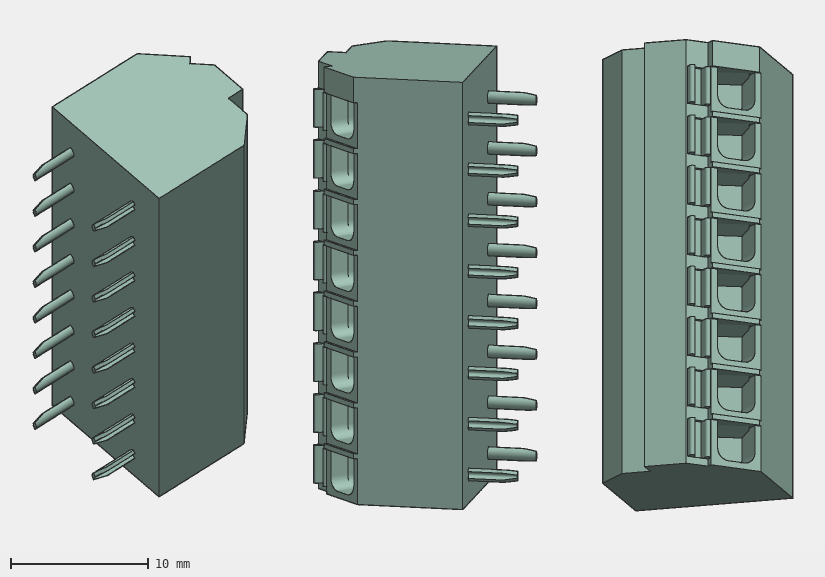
import cadquery as cq
import math

width = 12.0
height = 31.98
depth = 11.7
shoulder_y = 8.15
ledge_y = 10.33
ledge_x = 1.7
step_y = 10.9
step_run = 0.48

cell_count = 8
cell_pitch = 3.8

pocket_height = 3.42
pocket_depth = 0.22

hole_floor = 0.48
hole_fillet = 0.9
hole_top_y = 10.35
hole_low_y = 8.2
hole_bend_y = 9.3
hole_length = 1.6
lean = 25.0
ceiling_slope = 16.0

button_floor = 0.55
button_height = 2.8
lip_radius = 0.2
first_lip = 0.22
second_lip = 1.5
lip_tip_y = 11.95
slot_depth = 0.32

pin_length = 3.6
pin_taper = 1.02
pin_cutback = 0.25
pin_height = 2.17
pin_outer_radius = 0.48
pin_outer_angle = 80
pin_groove_radius = 0.15
pin_groove_angle = 60
pin_corner_x = -0.1
pin_corner_z = 0.25
pin_centers = ((-4.03, 1), (3.2, -1))

half_width = width / 2
chamfer_run = step_y - shoulder_y
crest_x = chamfer_run - half_width
notch_x = crest_x + step_run
notch_y = step_y - step_run
diagonal = math.sqrt(2)
pocket_drop = pocket_depth * diagonal
lip_reach = (lip_tip_y - lip_radius - notch_y) * diagonal - second_lip
lean_run = math.sin(math.radians(lean))
lean_fall = math.cos(math.radians(lean))
lean_offset = math.radians(45 - lean)


def prism(points, bottom, tall):
    return cq.Workplane("XY").workplane(offset=bottom).polyline(points).close().extrude(tall)


def wall_plane(z):
    """Plane whose X runs up the button wall from the notch and whose Y points out of it."""
    return cq.Workplane(cq.Plane(origin=(notch_x, notch_y, z), xDir=(1, 1, 0), normal=(0, 0, 1)))


def make_housing():
    outline = [
        (-half_width, 0),
        (half_width, 0),
        (half_width, shoulder_y),
        (half_width - (ledge_y - shoulder_y), ledge_y),
        (ledge_x, ledge_y),
        (ledge_x, depth),
        (notch_x + depth - notch_y, depth),
        (notch_x, notch_y),
        (crest_x, step_y),
        (-half_width, shoulder_y),
    ]
    return prism(outline, 0, height)


def make_pocket():
    outline = [
        (-half_width, shoulder_y - pocket_drop),
        (crest_x + pocket_drop / 2, step_y - pocket_drop / 2),
        (crest_x, step_y),
        (crest_x, step_y + pocket_drop),
        (-half_width - pocket_drop, shoulder_y),
    ]
    return prism(outline, 0, pocket_height)


def make_wire_hole():
    mouth = (hole_top_y - hole_low_y) * diagonal
    top_x = hole_top_y - (shoulder_y - pocket_drop) - half_width
    low_x = top_x - (hole_top_y - hole_low_y)
    entry = hole_top_y - hole_bend_y
    bend = (top_x + entry, hole_bend_y)
    end = (bend[0] + hole_length * lean_run, bend[1] - hole_length * lean_fall)
    low_entry = entry + mouth * math.tan(lean_offset / 2) / diagonal
    low_bend = (low_x + low_entry, hole_low_y - low_entry)
    low_end = (end[0] - mouth * lean_fall, end[1] - mouth * lean_run)
    outline = [
        (top_x - pocket_drop, hole_top_y + pocket_drop),
        bend,
        end,
        low_end,
        low_bend,
        (low_x - pocket_drop, hole_low_y + pocket_drop),
    ]
    hole = prism(outline, hole_floor, pocket_height - hole_floor)

    inward = cq.Vector(lean_run, -lean_fall, 0)
    floor = hole.faces("<Z")
    floor_edges = floor.edges(cq.selectors.ParallelDirSelector(cq.Vector(1, -1, 0)))
    floor_edges = floor_edges.add(floor.edges(cq.selectors.ParallelDirSelector(inward)))
    hole = floor_edges.fillet(hole_fillet)

    ceiling_drop = hole_length * math.tan(math.radians(ceiling_slope))
    ceiling_plane = cq.Plane((*bend, pocket_height), inward, (-lean_fall, -lean_run, 0))
    ceiling = (
        cq.Workplane(ceiling_plane)
        .polyline([(0, 0), (hole_length, 0), (hole_length, -ceiling_drop)])
        .close()
        .extrude(mouth)
    )
    return hole.cut(ceiling)


def make_lip(center):
    """Lip with a round end, an upper side square to the wall and a leaning lower side."""
    side_u = center - lip_radius * math.cos(lean_offset)
    side_v = lip_reach + lip_radius * math.sin(lean_offset)
    root_u = side_u - (side_v + slot_depth) * math.tan(lean_offset)
    return (
        wall_plane(button_floor)
        .moveTo(root_u, -slot_depth)
        .lineTo(center + lip_radius, -slot_depth)
        .lineTo(center + lip_radius, lip_reach)
        .threePointArc((center, lip_reach + lip_radius), (side_u, side_v))
        .close()
        .extrude(button_height)
    )


def make_slot():
    """Slot between the lips; the upper lip's root fills its far side again."""
    return (
        wall_plane(button_floor)
        .moveTo(first_lip + lip_radius, -slot_depth)
        .lineTo(second_lip, -slot_depth)
        .lineTo(second_lip, 0)
        .lineTo(first_lip + lip_radius, 0)
        .close()
        .extrude(button_height)
    )


def arc_point(radius, degrees):
    turn = math.radians(degrees)
    return (radius * math.cos(turn), radius * math.sin(turn))


def make_pin_tip_cut():
    """Wedge that tapers the upper strip edge of a pin on the Y axis."""
    tip_x, tip_z = arc_point(pin_outer_radius, pin_outer_angle)
    edge = cq.Vector(tip_x - pin_corner_x, 0, tip_z - pin_corner_z)
    outward = cq.Vector(-edge.z, 0, edge.x)
    taper_start = cq.Vector(pin_corner_x, pin_taper - pin_length, pin_corner_z)
    reach = pin_outer_radius
    return (
        cq.Workplane(cq.Plane(taper_start, outward, edge))
        .polyline([(0, 0), (reach, 0), (reach, pin_taper), (-pin_cutback, pin_taper)])
        .close()
        .extrude(reach, both=True)
    )


def make_pin(center_x, side):
    """Pin bulging towards +X, mirrored when it has to bulge the other way."""
    pin = (
        cq.Workplane("XZ")
        .moveTo(*arc_point(pin_outer_radius, -pin_outer_angle))
        .threePointArc((pin_outer_radius, 0), arc_point(pin_outer_radius, pin_outer_angle))
        .lineTo(pin_corner_x, pin_corner_z)
        .lineTo(*arc_point(pin_groove_radius, pin_groove_angle))
        .threePointArc((pin_groove_radius, 0), arc_point(pin_groove_radius, -pin_groove_angle))
        .lineTo(pin_corner_x, -pin_corner_z)
        .close()
        .extrude(pin_length)
    )
    tip_cut = make_pin_tip_cut()
    pin = pin.cut(tip_cut).cut(tip_cut.mirror("XY"))
    if side < 0:
        pin = pin.mirror("YZ")
    return pin.translate((center_x, 0, pin_height))


cut_tool = make_pocket().union(make_wire_hole()).union(make_slot())
lips = make_lip(first_lip).union(make_lip(second_lip))
pins = [make_pin(center_x, side) for center_x, side in pin_centers]

result = make_housing()
for index in range(cell_count):
    lift = (0, 0, index * cell_pitch)
    result = result.cut(cut_tool.translate(lift)).union(lips.translate(lift))
    for pin in pins:
        result = result.union(pin.translate(lift))